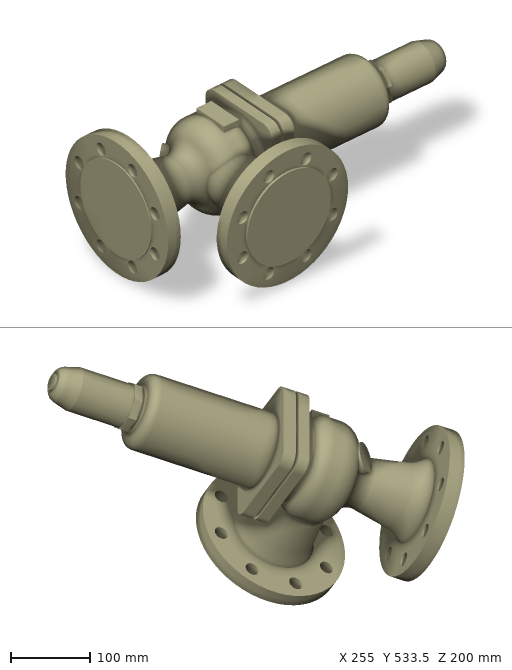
import cadquery as cq
import math


OVERALL_X = 255.0
OVERALL_Y = 533.5

FLANGE_DIAMETER = 200.0
FLANGE_STACK = 23.0
RAISED_FACE_RADIUS = 69.0
INLET_RAISED_FACE = 2.0
OUTLET_RAISED_FACE = 3.0
BOLT_COUNT = 8
BOLT_CIRCLE_RADIUS = 80.0
BOLT_HOLE_DIAMETER = 18.0

FACE_DISTANCE = OVERALL_X - FLANGE_DIAMETER / 2
FLANGE_BACK = FACE_DISTANCE - FLANGE_STACK
CAP_TOP_Y = OVERALL_Y - FACE_DISTANCE

NECK_RADIUS = 34.5
NECK_END_Y = -61.5
INLET_CONE_RADIUS = 44.0
INLET_CONE_END_Y = -109.5
FLARE_RADIUS = 56.0

OUTLET_START_X = 26.5
OUTLET_CONE_END_X = 113.5
OUTLET_CONE_RADIUS = 49.0
OUTLET_CONE_SLOPE = 0.15

BULB_RADIUS = 66.5
BULB_TOP_Y = 13.5
BULB_BOTTOM_Y = -3.0
UPPER_ROUND = 22.5
LOWER_ROUND = 31.0
LOWER_ROUND_SWEEP = math.radians(66)

THROAT_RADIUS = 51.0
THROAT_BOTTOM_Y = 39.0
THROAT_FILLET = 6.0
BULB_RIM_RADIUS = 53.0

SQUARE_SIDE = 130.0
SQUARE_CORNER = 17.5
BODY_FLANGE_Y = 48.0
BODY_FLANGE_THICKNESS = 15.0
JOINT_Y = BODY_FLANGE_Y + BODY_FLANGE_THICKNESS
JOINT_RADIUS = 60.0
JOINT_STEP = 1.5
SPIGOT_RADIUS = 54.0
BONNET_FLANGE_Y = 67.0
BONNET_FLANGE_THICKNESS = 17.0

BONNET_RADIUS = 50.0
BONNET_TOP_Y = 260.0
BONNET_ROUND = 12.0
COLLAR_BASE_RADIUS = 33.0
COLLAR_RADIUS = 30.0
COLLAR_HEIGHT = 2.0
CAP_NECK_RADIUS = 27.0
NUT_SIDES = 8
NUT_ACROSS_FLATS = 60.0
NUT_Y = 265.0
NUT_HEIGHT = 10.5
CAP_RADIUS = 29.0
CAP_CONE_Y = 348.0
CAP_SHOULDER_Y = 367.0
CAP_SHOULDER_RADIUS = 23.5
CAP_END_RADIUS = 17.0
TIP_RADIUS = 11.0
TIP_HEIGHT = 3.0

PAD_LENGTH = 54.0
PAD_WIDTH = 24.5
PAD_CENTER_Y = 13.5
PAD_TOP_Z = 70.5
PAD_DEPTH = 26.5

BOSS_RADIUS = 20.5
BOSS_FACE_X = -47.0
BOSS_FACE_Y = -40.0
BOSS_TILT = math.radians(41)
BOSS_LENGTH = 37.5


def turned_about_y(profile):
    """Revolve a closed profile, drawn in (radius, Y), about the valve axis."""
    return profile.close().revolve(360, (0, 0, 0), (0, 1, 0))


def pipe_flange(center, outward, side, raised_face):
    """Flange with a raised face and bolt holes straddling the centre lines."""
    back = cq.Plane(origin=center, xDir=side, normal=outward)
    plate = cq.Workplane(back).circle(FLANGE_DIAMETER / 2).extrude(FLANGE_STACK - raised_face)
    face = cq.Workplane(back).circle(RAISED_FACE_RADIUS).extrude(FLANGE_STACK)
    holes = (
        cq.Workplane(back)
        .polarArray(BOLT_CIRCLE_RADIUS, 180 / BOLT_COUNT, 360, BOLT_COUNT)
        .circle(BOLT_HOLE_DIAMETER / 2)
        .extrude(FLANGE_STACK)
    )
    return plate.union(face).cut(holes)


def valve_body():
    """Inlet nozzle, bulb and throat, turned as one piece up to the body flange."""
    upper_center_x = BULB_RADIUS - UPPER_ROUND
    upper_angle = math.acos((BULB_RIM_RADIUS - upper_center_x) / UPPER_ROUND)
    bulb_rim_y = BULB_TOP_Y + UPPER_ROUND * math.sin(upper_angle)
    upper_middle = (
        upper_center_x + UPPER_ROUND * math.cos(upper_angle / 2),
        BULB_TOP_Y + UPPER_ROUND * math.sin(upper_angle / 2),
    )

    fillet_middle_offset = THROAT_FILLET * (1 - math.sqrt(0.5))
    throat_top_y = BODY_FLANGE_Y - THROAT_FILLET
    fillet_middle = (THROAT_RADIUS + fillet_middle_offset, BODY_FLANGE_Y - fillet_middle_offset)

    def lower_point(angle):
        return (
            BULB_RADIUS - LOWER_ROUND * (1 - math.cos(angle)),
            BULB_BOTTOM_Y - LOWER_ROUND * math.sin(angle),
        )

    profile = (
        cq.Workplane("XY")
        .moveTo(0, BODY_FLANGE_Y)
        .lineTo(THROAT_RADIUS + THROAT_FILLET, BODY_FLANGE_Y)
        .threePointArc(fillet_middle, (THROAT_RADIUS, throat_top_y))
        .lineTo(THROAT_RADIUS, THROAT_BOTTOM_Y)
        .tangentArcPoint((BULB_RIM_RADIUS, bulb_rim_y), relative=False)
        .threePointArc(upper_middle, (BULB_RADIUS, BULB_TOP_Y))
        .lineTo(BULB_RADIUS, BULB_BOTTOM_Y)
        .threePointArc(lower_point(LOWER_ROUND_SWEEP / 2), lower_point(LOWER_ROUND_SWEEP))
        .tangentArcPoint((NECK_RADIUS, NECK_END_Y), relative=False)
        .lineTo(INLET_CONE_RADIUS, INLET_CONE_END_Y)
        .tangentArcPoint((FLARE_RADIUS, -FLANGE_BACK), relative=False)
        .lineTo(0, -FLANGE_BACK)
    )
    return turned_about_y(profile)


def outlet_nozzle():
    """Cone along +X that flares out to the back of the outlet flange."""
    start_radius = OUTLET_CONE_RADIUS - OUTLET_CONE_SLOPE * (OUTLET_CONE_END_X - OUTLET_START_X)
    return (
        cq.Workplane("XY")
        .moveTo(OUTLET_START_X, 0)
        .lineTo(OUTLET_START_X, start_radius)
        .lineTo(OUTLET_CONE_END_X, OUTLET_CONE_RADIUS)
        .tangentArcPoint((FLANGE_BACK, FLARE_RADIUS), relative=False)
        .lineTo(FLANGE_BACK, 0)
        .close()
        .revolve(360, (0, 0, 0), (1, 0, 0))
    )


def across_axis(y):
    """Workplane across the valve axis at height y, facing +Y."""
    return cq.Workplane(cq.Plane(origin=(0, y, 0), xDir=(1, 0, 0), normal=(0, 1, 0)))


def square_flange(y, thickness):
    plate = across_axis(y).rect(SQUARE_SIDE, SQUARE_SIDE).extrude(thickness)
    return plate.edges("|Y").fillet(SQUARE_CORNER)


def bonnet_joint():
    """Stepped ring and spigot filling the gap between the square flanges."""
    ring = across_axis(JOINT_Y).circle(JOINT_RADIUS).extrude(JOINT_STEP)
    spigot = across_axis(JOINT_Y).circle(SPIGOT_RADIUS).extrude(BONNET_FLANGE_Y - JOINT_Y)
    return ring.union(spigot)


def bonnet():
    barrel = across_axis(BONNET_FLANGE_Y).circle(BONNET_RADIUS).extrude(BONNET_TOP_Y - BONNET_FLANGE_Y)
    return barrel.faces(">Y").edges().fillet(BONNET_ROUND)


def lock_nut():
    """Octagonal nut with flats facing X and Z."""
    across_corners = NUT_ACROSS_FLATS / math.cos(math.pi / NUT_SIDES)
    half_side_angle = 180 / NUT_SIDES
    nut = across_axis(NUT_Y).polygon(NUT_SIDES, across_corners).extrude(NUT_HEIGHT)
    return nut.rotate((0, 0, 0), (0, 1, 0), half_side_angle)


def cap():
    """Collar, neck, cap barrel, tapered end and tip, turned as one piece."""
    collar_top_y = BONNET_TOP_Y + COLLAR_HEIGHT
    cap_end_y = CAP_TOP_Y - TIP_HEIGHT
    profile = (
        cq.Workplane("XY")
        .moveTo(0, BONNET_TOP_Y)
        .lineTo(COLLAR_BASE_RADIUS, BONNET_TOP_Y)
        .lineTo(COLLAR_RADIUS, collar_top_y)
        .lineTo(CAP_NECK_RADIUS, collar_top_y)
        .lineTo(CAP_NECK_RADIUS, NUT_Y)
        .lineTo(CAP_RADIUS, NUT_Y)
        .lineTo(CAP_RADIUS, CAP_CONE_Y)
        .lineTo(CAP_SHOULDER_RADIUS, CAP_SHOULDER_Y)
        .tangentArcPoint((CAP_END_RADIUS, cap_end_y), relative=False)
        .lineTo(TIP_RADIUS, cap_end_y)
        .lineTo(TIP_RADIUS, CAP_TOP_Y)
        .lineTo(0, CAP_TOP_Y)
    )
    return turned_about_y(profile)


def pad():
    return (
        cq.Workplane("XY", origin=(0, PAD_CENTER_Y, PAD_TOP_Z))
        .rect(PAD_LENGTH, PAD_WIDTH)
        .extrude(-PAD_DEPTH)
    )


def drain_boss():
    outward = (-math.cos(BOSS_TILT), -math.sin(BOSS_TILT), 0)
    face = cq.Plane(origin=(BOSS_FACE_X, BOSS_FACE_Y, 0), xDir=(0, 0, 1), normal=outward)
    return cq.Workplane(face).circle(BOSS_RADIUS).extrude(-BOSS_LENGTH)


inlet_flange = pipe_flange((0, -FLANGE_BACK, 0), (0, -1, 0), (1, 0, 0), INLET_RAISED_FACE)
outlet_flange = pipe_flange((FLANGE_BACK, 0, 0), (1, 0, 0), (0, 1, 0), OUTLET_RAISED_FACE)

result = (
    valve_body()
    .union(outlet_nozzle())
    .union(inlet_flange)
    .union(outlet_flange)
    .union(square_flange(BODY_FLANGE_Y, BODY_FLANGE_THICKNESS))
    .union(bonnet_joint())
    .union(square_flange(BONNET_FLANGE_Y, BONNET_FLANGE_THICKNESS))
    .union(bonnet())
    .union(cap())
    .union(lock_nut())
    .union(pad())
    .union(drain_boss())
)